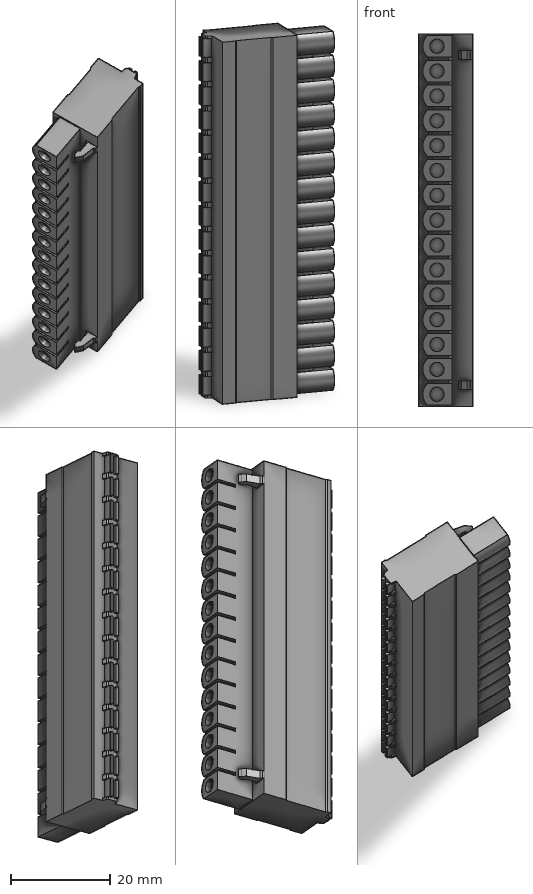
import cadquery as cq


POLES = 15
LENGTH = 75.0
PITCH = LENGTH / POLES
WIDTH = 10.9
DEPTH = 26.5
PEG_LENGTH = 8.4
HOUSING_FRONT = PEG_LENGTH
HOUSING_BACK = 24.5

RELIEF_DEPTH = 0.2
RELIEF_RAMP = 0.3
RELIEF_FRONT = 13.65
LEFT_RELIEF_BACK = 21.7
RIGHT_RELIEF_BACK = 23.6

PEG_HEIGHT = 4.35
PEG_LEFT = 0.8
PEG_RIGHT = 6.7
PEG_BULGE = 0.9
SOCKET_DIAMETER = 2.85
SOCKET_DEPTH = 1.3
SOCKET_X = 3.7

WEB_FRONT = 4.3
WEB_WIDTH = 0.7
LEFT_WEB_X = 1.95
RIGHT_WEB_X = PEG_RIGHT - WEB_WIDTH

RIDGE_BACK = 25.8
RIDGE_BASE_LEFT = 5.7
RIDGE_BASE_RIGHT = 8.8
RIDGE_TOP_LEFT = 6.15
RIDGE_TOP_RIGHT = 8.25
RIDGE_SHOULDER = 25.5
RIDGE_BEVEL = 0.3
LIP_WIDTH = 0.7
LIP_HEIGHT = DEPTH - RIDGE_BACK
LIP_BEVEL = 0.15
LIP_LENGTH = 3.9

LATCH_THICKNESS = 1.7
LATCH_CENTRE = 4.3
LATCH_PROFILE = [
    (8.0, HOUSING_FRONT),
    (8.55, 8.0),
    (8.55, 5.8),
    (8.0, 5.2),
    (8.0, 4.6),
    (8.3, 4.0),
    (8.6, 3.75),
    (9.1, 4.2),
    (9.75, 5.0),
    (10.35, 7.8),
    (10.8, 8.1),
    (WIDTH, HOUSING_FRONT),
]


def box(x, y, z, dx, dy, dz):
    """Box with its lowest corner at (x, y, z)."""
    return cq.Workplane("XY").box(dx, dy, dz, centered=False).translate((x, y, z))


def make_housing():
    profile = [
        (0, HOUSING_FRONT),
        (WIDTH, HOUSING_FRONT),
        (WIDTH, RELIEF_FRONT),
        (WIDTH - RELIEF_DEPTH, RELIEF_FRONT + RELIEF_RAMP),
        (WIDTH - RELIEF_DEPTH, RIGHT_RELIEF_BACK - RELIEF_RAMP),
        (WIDTH, RIGHT_RELIEF_BACK),
        (WIDTH, HOUSING_BACK),
        (0, HOUSING_BACK),
        (0, LEFT_RELIEF_BACK),
        (RELIEF_DEPTH, LEFT_RELIEF_BACK - RELIEF_RAMP),
        (RELIEF_DEPTH, RELIEF_FRONT + RELIEF_RAMP),
        (0, RELIEF_FRONT),
    ]
    return cq.Workplane("XY").polyline(profile).close().extrude(LENGTH)


def make_ridge():
    profile = [
        (RIDGE_BASE_LEFT, HOUSING_BACK),
        (RIDGE_BASE_RIGHT, HOUSING_BACK),
        (RIDGE_TOP_RIGHT + RIDGE_BEVEL, RIDGE_SHOULDER),
        (RIDGE_TOP_RIGHT, RIDGE_BACK),
        (RIDGE_TOP_LEFT, RIDGE_BACK),
        (RIDGE_TOP_LEFT - RIDGE_BEVEL, RIDGE_SHOULDER),
    ]
    return cq.Workplane("XY").polyline(profile).close().extrude(LENGTH)


def make_side_cuts(z):
    """Blocks that trim both slopes of the ridge square over one pole."""
    bottom = z - LIP_LENGTH / 2
    height = RIDGE_BACK - HOUSING_BACK
    left_width = RIDGE_TOP_LEFT - RIDGE_BASE_LEFT
    right_width = RIDGE_BASE_RIGHT - RIDGE_TOP_RIGHT
    left = box(RIDGE_BASE_LEFT, HOUSING_BACK, bottom, left_width, height, LIP_LENGTH)
    right = box(RIDGE_TOP_RIGHT, HOUSING_BACK, bottom, right_width, height, LIP_LENGTH)
    return left.union(right)


def make_lips(z):
    """Mirrored pair of lips on the ridge, with their outer edges bevelled."""
    bottom = z - LIP_LENGTH / 2
    left = box(RIDGE_TOP_LEFT, RIDGE_BACK, bottom, LIP_WIDTH, LIP_HEIGHT, LIP_LENGTH)
    left = left.faces(">Y").edges("<X").chamfer(LIP_BEVEL)
    ridge_middle = ((RIDGE_TOP_LEFT + RIDGE_TOP_RIGHT) / 2, 0, 0)
    return left.union(left.mirror("YZ", ridge_middle))


def make_peg(z):
    """Peg of one pole, extruded from the housing to its tip at Y = 0."""
    low = z - PEG_HEIGHT / 2
    high = z + PEG_HEIGHT / 2
    flat_left = PEG_LEFT + PEG_BULGE
    peg = (
        cq.Workplane("XZ", origin=(0, HOUSING_FRONT, 0))
        .moveTo(flat_left, low)
        .lineTo(PEG_RIGHT, low)
        .lineTo(PEG_RIGHT, high)
        .lineTo(flat_left, high)
        .threePointArc((PEG_LEFT, z), (flat_left, low))
        .close()
        .extrude(PEG_LENGTH)
    )
    socket = (
        cq.Workplane("XZ")
        .center(SOCKET_X, z)
        .circle(SOCKET_DIAMETER / 2)
        .extrude(-SOCKET_DEPTH)
    )
    return peg.cut(socket)


def make_webs(z):
    """Two webs filling the gap centred on z between neighbouring pegs."""
    gap = PITCH - PEG_HEIGHT
    depth = HOUSING_FRONT - WEB_FRONT
    left = box(LEFT_WEB_X, WEB_FRONT, z - gap / 2, WEB_WIDTH, depth, gap)
    return left.union(left.translate((RIGHT_WEB_X - LEFT_WEB_X, 0, 0)))


def make_latch(z):
    latch = cq.Workplane("XY").polyline(LATCH_PROFILE).close().extrude(LATCH_THICKNESS)
    return latch.translate((0, 0, z - LATCH_THICKNESS / 2))


pole_heights = [(pole + 0.5) * PITCH for pole in range(POLES)]

result = make_housing().union(make_ridge())
for pole_z in pole_heights:
    result = result.cut(make_side_cuts(pole_z))
    result = result.union(make_lips(pole_z))
    result = result.union(make_peg(pole_z))
for gap_index in range(1, POLES):
    result = result.union(make_webs(gap_index * PITCH))
for latch_z in (LATCH_CENTRE, LENGTH - LATCH_CENTRE):
    result = result.union(make_latch(latch_z))